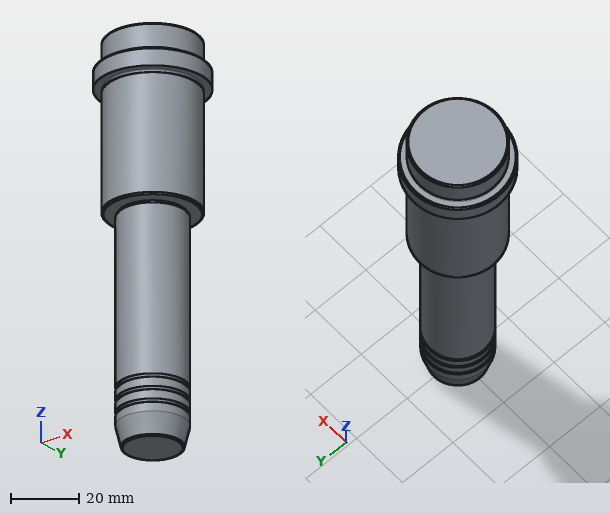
import cadquery as cq

total_length = 130.0
flange_radius = 35.0 / 2
body_radius = 30.0 / 2
shank_radius = 22.0 / 2
tip_radius = 18.5 / 2

flange_top = 121.0
flange_bottom = 115.0
body_bottom = 75.0
neck_length = 1.0
taper_length = 7.0

edge_chamfer = 0.5
neck_depth = 0.8
tip_chamfer = 0.4
groove_radius = 0.5
groove_pitch = 4.0
groove_count = 3
first_groove_height = 10.5


def cylinder(radius, bottom, top):
    """Cylinder on the Z axis between two heights."""
    return cq.Workplane("XY").workplane(offset=bottom).circle(radius).extrude(top - bottom)


def ring_groove(surface_radius, height):
    """Torus that cuts a half-round groove around a cylinder of the given radius."""
    section = cq.Workplane("XZ").center(surface_radius, height).circle(groove_radius)
    return section.revolve(360, (-surface_radius, 0, 0), (-surface_radius, 1, 0))


tip = (
    cq.Workplane("XY")
    .circle(tip_radius)
    .workplane(offset=taper_length)
    .circle(shank_radius)
    .loft()
    .faces("<Z")
    .chamfer(tip_chamfer)
)

shank_top = body_bottom - neck_length
shank = cylinder(shank_radius, taper_length, shank_top)
neck = cylinder(shank_radius - neck_depth, shank_top, body_bottom)

body = cylinder(body_radius, body_bottom, total_length).faces("<Z or >Z").chamfer(edge_chamfer)
flange = cylinder(flange_radius, flange_bottom, flange_top).faces(">Z").chamfer(edge_chamfer)

result = tip
for section in (shank, neck, body, flange):
    result = result.union(section)

for height in (flange_bottom - groove_radius, flange_top + groove_radius):
    result = result.cut(ring_groove(body_radius, height))

for index in range(groove_count):
    groove_height = first_groove_height + index * groove_pitch
    result = result.cut(ring_groove(shank_radius, groove_height))